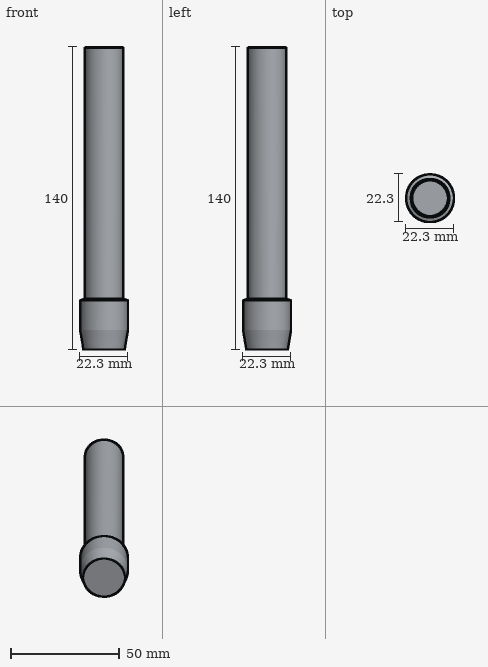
import cadquery as cq

total_length = 140.0

shank_radius = 9.0
tip_chamfer_width = 0.7
tip_chamfer_height = 0.5

head_diameter = 22.3
head_radius = head_diameter / 2
nose_radius = 9.7
nose_height = 8.8
shoulder_height = 22.7
head_height = 23.5


def make_head():
    """Revolved head: tapered nose, straight band and a shoulder sloping in to the shank."""
    profile = (
        cq.Workplane("YZ")
        .lineTo(nose_radius, 0)
        .lineTo(head_radius, nose_height)
        .lineTo(head_radius, shoulder_height)
        .lineTo(shank_radius, head_height)
        .lineTo(0, head_height)
        .close()
    )
    return profile.revolve(360, (0, 0, 0), (0, 1, 0))


def make_shank():
    """Long round shank standing on the head, with a bevelled free end."""
    bevel_start = total_length - tip_chamfer_height
    profile = (
        cq.Workplane("YZ")
        .moveTo(0, head_height)
        .lineTo(shank_radius, head_height)
        .lineTo(shank_radius, bevel_start)
        .lineTo(shank_radius - tip_chamfer_width, total_length)
        .lineTo(0, total_length)
        .close()
    )
    return profile.revolve(360, (0, 0, 0), (0, 1, 0))


head = make_head()
shank = make_shank()

result = cq.Compound.makeCompound([head.val(), shank.val()])